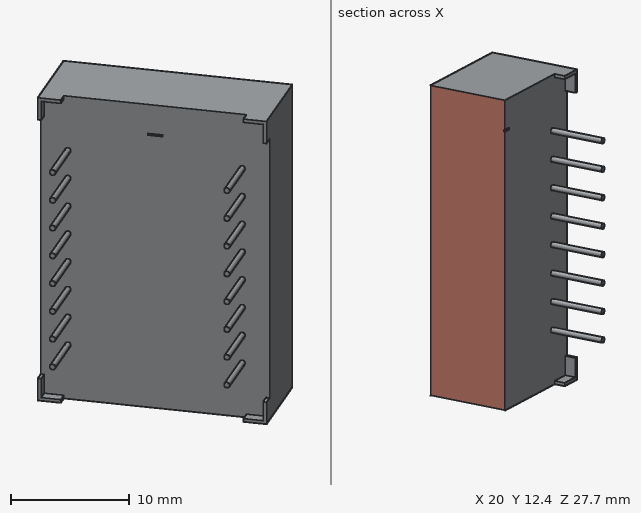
import cadquery as cq

width = 20.0
height = 27.7
total_depth = 12.4
pin_length = 5.0
housing_depth = total_depth - pin_length

foot_leg = 2.02
foot_wall = 0.3
foot_height = 1.0

pin_diameter = 0.5
pins_per_row = 8
row_length = 17.78
row_spacing = 15.24
pin_pitch = row_length / (pins_per_row - 1)

mark_width = 1.27
mark_height = 0.15
mark_depth = 0.1
mark_z = 11.1

overlap = 0.28


def make_housing():
    return cq.Workplane("XY").box(width, housing_depth, height, centered=(True, False, True))


def make_foot(side_x, side_z):
    """One L-shaped foot; side_x and side_z (+1 or -1) select the corner."""
    outer_x = side_x * width / 2
    outer_z = side_z * height / 2
    tip_x = outer_x - side_x * foot_leg
    tip_z = outer_z - side_z * foot_leg
    inner_x = outer_x - side_x * foot_wall
    inner_z = outer_z - side_z * foot_wall
    outline = [
        (outer_x, outer_z),
        (tip_x, outer_z),
        (tip_x, inner_z),
        (inner_x, inner_z),
        (inner_x, tip_z),
        (outer_x, tip_z),
    ]
    return (
        cq.Workplane("XZ", origin=(0, overlap, 0))
        .polyline(outline)
        .close()
        .extrude(foot_height + overlap)
    )


def make_pins():
    return (
        cq.Workplane("XZ", origin=(0, overlap, 0))
        .rarray(row_spacing, pin_pitch, 2, pins_per_row)
        .circle(pin_diameter / 2)
        .extrude(pin_length + overlap)
    )


def make_mark():
    return (
        cq.Workplane("XZ")
        .center(0, mark_z)
        .rect(mark_width, mark_height)
        .extrude(-mark_depth)
    )


result = make_housing().cut(make_mark()).union(make_pins())
for side_x in (-1, 1):
    for side_z in (-1, 1):
        result = result.union(make_foot(side_x, side_z))